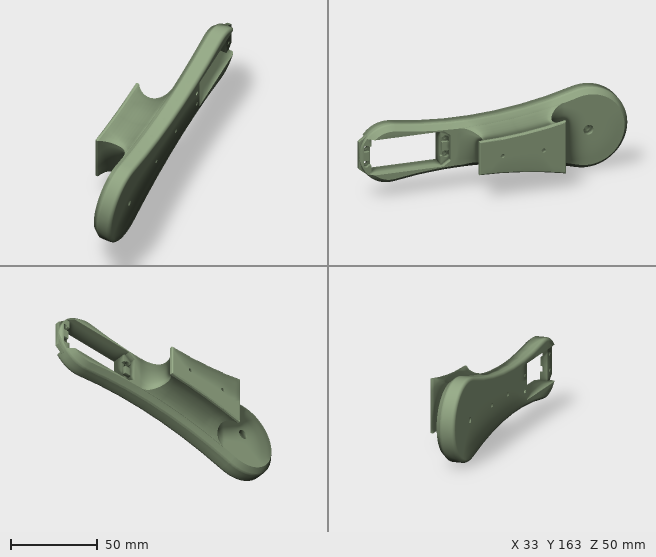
import cadquery as cq
import math


LARGE_END_RADIUS = 25.0
SMALL_END_RADIUS = 18.0
END_SPACING = 120.0
NECK_RADIUS = 250.0

BODY_THICKNESS = 12.0
FRONT_CHAMFER_INSET = 3.0
FRONT_CHAMFER_DEPTH = 3.6
EDGE_FILLET = 2.0
SELECTION_MARGIN = 0.1

OVERALL_THICKNESS = 33.0
LIP_THICKNESS = 2.0
LIP_FILLET = 0.8
LIP_START_Y = 20.7
LIP_END_Y = 73.4
END_GROOVE_RADIUS = 10.3
SIDE_GROOVE_RADIUS = 17.0
SIDE_GROOVE_X = -22.3
SIDE_GROOVE_INSET = 6.3

WINDOW_START_Y = 89.2
WINDOW_END_Y = 131.3
WINDOW_HALF_WIDTH = 11.0
TAB_FRONT_X = -8.7
TAB_BACK_X = -3.9
LEDGE_WALL_Y = 83.9
LEDGE_HALF_WIDTH = 7.9
LEDGE_TAPER_Y = 88.3
END_TAB_HALF_WIDTH = 8.4
END_TAB_TAPER_LENGTH = 4.6
END_TAB_ROOT_HALF_WIDTH = 12.1
END_TAB_FILLET = 2.2

RECESS_DEPTH = 2.3
RECESS_HALF_WIDTH = 5.9
RECESS_END_Y = 135.8
LAND_HALF_WIDTH = 2.7
LAND_SETBACK = 1.0
SCREW_CLEARANCE_DIAMETER = 4.0
TAB_HOLE_DIAMETER = 2.5
TAB_HOLE_SPACING_Y = 48.3
TAB_HOLE_SPACING_Z = 9.7

PIVOT_HOLE_DIAMETER = 3.5
PIVOT_BORE_DIAMETER = 6.0
PIVOT_BORE_DEPTH = 3.0
GRIP_HOLE_DIAMETER = 2.5
GRIP_HOLES_Y = (34.4, 59.4)

BODY_FRONT_X = -BODY_THICKNESS
GRIP_FRONT_X = -OVERALL_THICKNESS
PART_END_Y = END_SPACING + SMALL_END_RADIUS
LIP_BACK_X = GRIP_FRONT_X + LIP_THICKNESS
RECESS_FLOOR_X = TAB_FRONT_X + RECESS_DEPTH
WINDOW_CENTER_Y = (WINDOW_START_Y + WINDOW_END_Y) / 2
TAB_HOLES_Y = [WINDOW_CENTER_Y + side * TAB_HOLE_SPACING_Y / 2 for side in (-1, 1)]

LARGE_REACH = LARGE_END_RADIUS + NECK_RADIUS
SMALL_REACH = SMALL_END_RADIUS + NECK_RADIUS
NECK_Y = (LARGE_REACH**2 - SMALL_REACH**2 + END_SPACING**2) / (2 * END_SPACING)
NECK_Z = math.sqrt(LARGE_REACH**2 - NECK_Y**2)


def plane_at(x):
    """Workplane facing +X at the given X, with local axes Y and Z."""
    return cq.Workplane("YZ", origin=(x, 0, 0))


def block(x_range, y_range, z_range):
    size = [high - low for low, high in (x_range, y_range, z_range)]
    corner = (x_range[0], y_range[0], z_range[0])
    return cq.Workplane("XY").box(*size, centered=False).translate(corner)


def make_body():
    large_y = NECK_Y * LARGE_END_RADIUS / LARGE_REACH
    large_z = NECK_Z * LARGE_END_RADIUS / LARGE_REACH
    small_y = END_SPACING + (NECK_Y - END_SPACING) * SMALL_END_RADIUS / SMALL_REACH
    small_z = NECK_Z * SMALL_END_RADIUS / SMALL_REACH
    waist_z = NECK_Z - NECK_RADIUS
    body = (
        plane_at(BODY_FRONT_X)
        .moveTo(large_y, -large_z)
        .threePointArc((-LARGE_END_RADIUS, 0), (large_y, large_z))
        .threePointArc((NECK_Y, waist_z), (small_y, small_z))
        .threePointArc((PART_END_Y, 0), (small_y, -small_z))
        .threePointArc((NECK_Y, -waist_z), (large_y, -large_z))
        .close()
        .extrude(BODY_THICKNESS)
    )
    body = body.faces("<X").chamfer(FRONT_CHAMFER_DEPTH, FRONT_CHAMFER_INSET)
    shoulder_x = BODY_FRONT_X + FRONT_CHAMFER_DEPTH
    shoulder = cq.selectors.BoxSelector(
        (shoulder_x - SELECTION_MARGIN, -2 * LARGE_END_RADIUS, -2 * LARGE_END_RADIUS),
        (shoulder_x + SELECTION_MARGIN, 2 * PART_END_Y, 2 * LARGE_END_RADIUS),
        boundingbox=True,
    )
    body = body.edges(shoulder).fillet(EDGE_FILLET)
    return body.faces(">X").edges().fillet(EDGE_FILLET)


def make_grip():
    """Grip with grooved ends and with grooved sides that follow the neck arcs."""
    groove_x = BODY_FRONT_X - END_GROOVE_RADIUS
    lip_reach = math.sqrt(END_GROOVE_RADIUS**2 - (LIP_BACK_X - groove_x) ** 2)
    start_center_y = LIP_START_Y - lip_reach
    end_center_y = LIP_END_Y + lip_reach
    grip = (
        cq.Workplane("XY")
        .moveTo(GRIP_FRONT_X, LIP_START_Y)
        .lineTo(LIP_BACK_X, LIP_START_Y)
        .threePointArc((groove_x, start_center_y + END_GROOVE_RADIUS), (BODY_FRONT_X, start_center_y))
        .lineTo(BODY_FRONT_X + EDGE_FILLET, start_center_y)
        .lineTo(BODY_FRONT_X + EDGE_FILLET, end_center_y)
        .lineTo(BODY_FRONT_X, end_center_y)
        .threePointArc((groove_x, end_center_y - END_GROOVE_RADIUS), (LIP_BACK_X, LIP_END_Y))
        .lineTo(GRIP_FRONT_X, LIP_END_Y)
        .close()
        .extrude(LARGE_END_RADIUS, both=True)
    )
    for side in (-1, 1):
        grip = grip.cut(side_cutter(side))
    return grip.faces("<X").edges().fillet(LIP_FILLET)


def side_groove_radius(x):
    """Distance of the grooved grip side from the neck axis at the given X."""
    drop = math.sqrt(SIDE_GROOVE_RADIUS**2 - (x - SIDE_GROOVE_X) ** 2)
    return NECK_RADIUS + SIDE_GROOVE_INSET - SIDE_GROOVE_RADIUS + drop


def side_cutter(side):
    """Disc with a rounded rim, turned about the neck axis on one side."""
    lip_radius = side_groove_radius(LIP_BACK_X)
    base_radius = side_groove_radius(BODY_FRONT_X)
    return (
        cq.Workplane("XY", origin=(0, NECK_Y, side * NECK_Z))
        .moveTo(GRIP_FRONT_X, 0)
        .lineTo(GRIP_FRONT_X, lip_radius)
        .lineTo(LIP_BACK_X, lip_radius)
        .threePointArc((SIDE_GROOVE_X, side_groove_radius(SIDE_GROOVE_X)), (BODY_FRONT_X, base_radius))
        .lineTo(0, base_radius)
        .lineTo(0, 0)
        .close()
        .revolve(360, (0, 0, 0), (1, 0, 0))
    )


def cut_window(part):
    """Cut the window, open at the small end, and the tapered ledge at its inner end."""
    width = (-WINDOW_HALF_WIDTH, WINDOW_HALF_WIDTH)
    part = part.cut(block((BODY_FRONT_X, 0), (WINDOW_START_Y, PART_END_Y), width))
    ledge_pocket = (
        plane_at(BODY_FRONT_X)
        .moveTo(WINDOW_START_Y, -WINDOW_HALF_WIDTH)
        .lineTo(LEDGE_TAPER_Y, -WINDOW_HALF_WIDTH)
        .lineTo(LEDGE_WALL_Y, -LEDGE_HALF_WIDTH)
        .lineTo(LEDGE_WALL_Y, LEDGE_HALF_WIDTH)
        .lineTo(LEDGE_TAPER_Y, WINDOW_HALF_WIDTH)
        .lineTo(WINDOW_START_Y, WINDOW_HALF_WIDTH)
        .close()
        .extrude(TAB_FRONT_X - BODY_FRONT_X)
    )
    return part.cut(ledge_pocket)


def make_end_tab(body):
    """Tab across the open end of the window; its front layer keeps the rounded body edge."""
    taper_start_y = PART_END_Y - END_TAB_TAPER_LENGTH
    tab = (
        plane_at(TAB_FRONT_X)
        .moveTo(WINDOW_END_Y, -END_TAB_ROOT_HALF_WIDTH)
        .lineTo(taper_start_y, -END_TAB_ROOT_HALF_WIDTH)
        .lineTo(PART_END_Y, -END_TAB_HALF_WIDTH)
        .lineTo(PART_END_Y, END_TAB_HALF_WIDTH)
        .lineTo(taper_start_y, END_TAB_ROOT_HALF_WIDTH)
        .lineTo(WINDOW_END_Y, END_TAB_ROOT_HALF_WIDTH)
        .close()
        .extrude(TAB_BACK_X - TAB_FRONT_X)
    )
    tab = tab.faces("<X").edges(">Y").fillet(END_TAB_FILLET)
    front_layer = block(
        (TAB_FRONT_X, RECESS_FLOOR_X),
        (WINDOW_END_Y, PART_END_Y),
        (-END_TAB_ROOT_HALF_WIDTH, END_TAB_ROOT_HALF_WIDTH),
    )
    return tab.cut(front_layer.cut(body))


def tab_recess(y_range, land_y_range):
    """Screw recess in the front of a tab, leaving a raised land in the middle."""
    depth_range = (TAB_FRONT_X, RECESS_FLOOR_X)
    recess = block(depth_range, y_range, (-RECESS_HALF_WIDTH, RECESS_HALF_WIDTH))
    land = block(depth_range, land_y_range, (-LAND_HALF_WIDTH, LAND_HALF_WIDTH))
    return recess.cut(land)


def cut_tab_details(part):
    part = part.cut(tab_recess((WINDOW_END_Y, RECESS_END_Y), (WINDOW_END_Y + LAND_SETBACK, PART_END_Y)))
    part = part.cut(tab_recess((LEDGE_WALL_Y, WINDOW_START_Y), (LEDGE_WALL_Y, WINDOW_START_Y - LAND_SETBACK)))
    hole_centers = [(y, side * TAB_HOLE_SPACING_Z / 2) for y in TAB_HOLES_Y for side in (-1, 1)]
    clearances = plane_at(TAB_FRONT_X).pushPoints(hole_centers).circle(SCREW_CLEARANCE_DIAMETER / 2)
    holes = plane_at(BODY_FRONT_X).pushPoints(hole_centers).circle(TAB_HOLE_DIAMETER / 2)
    tab_span = block(
        (TAB_FRONT_X, RECESS_FLOOR_X),
        (LEDGE_WALL_Y, RECESS_END_Y),
        (-WINDOW_HALF_WIDTH, WINDOW_HALF_WIDTH),
    )
    part = part.cut(clearances.extrude(RECESS_DEPTH).intersect(tab_span))
    return part.cut(holes.extrude(BODY_THICKNESS))


def cut_handle_holes(part):
    pivot = plane_at(BODY_FRONT_X).circle(PIVOT_HOLE_DIAMETER / 2).extrude(BODY_THICKNESS)
    bore = plane_at(BODY_FRONT_X).circle(PIVOT_BORE_DIAMETER / 2).extrude(PIVOT_BORE_DEPTH)
    grip_centers = [(y, 0) for y in GRIP_HOLES_Y]
    grip_holes = (
        plane_at(GRIP_FRONT_X)
        .pushPoints(grip_centers)
        .circle(GRIP_HOLE_DIAMETER / 2)
        .extrude(OVERALL_THICKNESS)
    )
    return part.cut(pivot).cut(bore).cut(grip_holes)


body = make_body()
handle = body.union(make_grip())
handle = cut_window(handle).union(make_end_tab(body))
handle = cut_tab_details(handle)
result = cut_handle_holes(handle)